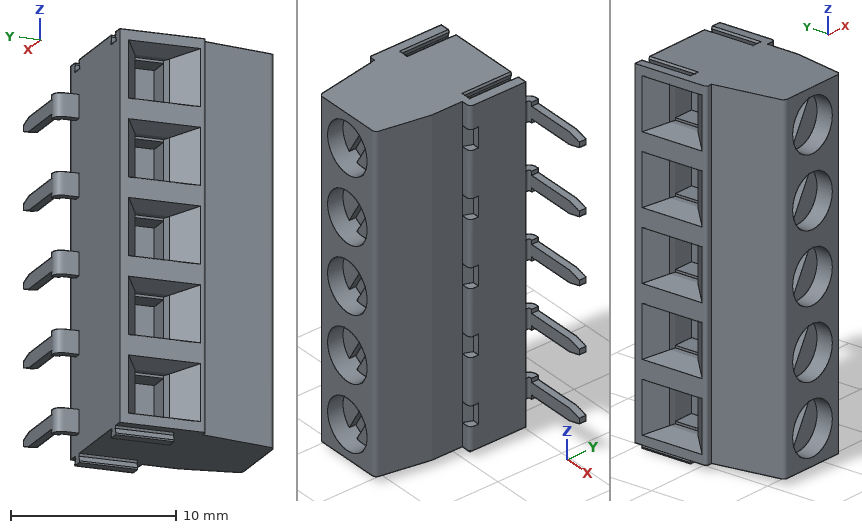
import cadquery as cq
import math

TOTAL_LENGTH = 25.6
BODY_LENGTH = 25.0
POLES = 5
PITCH = BODY_LENGTH / POLES
CUT_MARGIN = 0.25

BODY_WIDTH = 8.12
BODY_DEPTH = 10.6
WIRE_STEP_X = 0.49
WIRE_STEP_Y = 5.0
SHOULDER_X = 7.37
SHOULDER_Y = 6.25
TAPER_END_Y = 3.9
FLANK_SLOPE = math.tan(math.radians(10))
SCREW_FACE_LEFT = WIRE_STEP_X + WIRE_STEP_Y * FLANK_SLOPE
SCREW_FACE_RIGHT = SHOULDER_X - TAPER_END_Y * FLANK_SLOPE
SCREW_EDGE_RADIUS = 0.33
STEP_EDGE_RADIUS = 0.18
SHOULDER_EDGE_RADIUS = 0.3

SCREW_DIAMETER = 3.8
SCREW_X = (SCREW_FACE_LEFT + SCREW_FACE_RIGHT) / 2
SCREW_RECESS = 1.2
DRIVE_SLOT_WIDTH = 0.85
DRIVE_SLOT_DEPTH = 0.5
DRIVE_SLOT_ANGLE = 60

FUNNEL_Y = 7.68
FUNNEL_DEPTH = 4.68
FUNNEL_HEIGHT = 3.69
THROAT_Y = 7.94
THROAT_DEPTH = 2.23
THROAT_HEIGHT = 2.85
FUNNEL_REACH = 1.4
THROAT_REACH = 0.45
CAGE_Y = 8.0
CAGE_DEPTH = 1.95
CAGE_HEIGHT = 2.5
CAGE_REACH = 1.54

NOTCH_HEIGHT = 1.5
NOTCH_DEPTH = 0.67
NOTCH_RAMP = 0.25

RAIL_HEIGHT = TOTAL_LENGTH - BODY_LENGTH
RAIL_ROOT_WIDTH = 0.75
RAIL_NECK_WIDTH = 0.56
RAIL_WIDTH = 0.8
RAIL_TIP_WIDTH = 0.75
RAIL_NECK_DROP = 0.15
RAIL_WIDEST_DROP = 0.49
RAIL_LENGTH = 3.8
RAIL_CENTERS = (1.05, 7.05)

PIN_TIP_X = 12.05
PIN_REAR_Y = 12.1
PIN_THICKNESS = 0.55
PIN_LEG_X = 6.7
PIN_LEG_WIDTH = 1.5
PIN_WIDTH = 0.92
PIN_TIP_WIDTH = 0.4
PIN_NARROW_X = 7.48
PIN_OUTER_RADIUS = 0.56
PIN_INNER_RADIUS = 0.1
PIN_TAPER_X = 11.1
PIN_OFFSET = -0.45
PIN_EMBED = 0.5


def make_housing():
    outline = [
        (SCREW_FACE_LEFT, 0),
        (SCREW_FACE_RIGHT, 0),
        (SHOULDER_X, TAPER_END_Y),
        (SHOULDER_X, SHOULDER_Y),
        (BODY_WIDTH, SHOULDER_Y),
        (BODY_WIDTH, BODY_DEPTH),
        (0, BODY_DEPTH),
        (0, WIRE_STEP_Y),
        (WIRE_STEP_X, WIRE_STEP_Y),
    ]
    housing = cq.Workplane("XY").polyline(outline).close().extrude(BODY_LENGTH)
    housing = housing.edges("|Z and <Y").fillet(SCREW_EDGE_RADIUS)
    step_edge = cq.selectors.NearestToPointSelector((0, WIRE_STEP_Y, BODY_LENGTH / 2))
    housing = housing.edges(step_edge).fillet(STEP_EDGE_RADIUS)
    shoulder_edge = cq.selectors.NearestToPointSelector((BODY_WIDTH, SHOULDER_Y, BODY_LENGTH / 2))
    return housing.edges(shoulder_edge).fillet(SHOULDER_EDGE_RADIUS)


def make_screw_recess(z):
    """Round recess down to the screw head, plus the head's drive slot."""
    face = cq.Workplane("XZ", origin=(SCREW_X, 0, z))
    recess = face.circle(SCREW_DIAMETER / 2).extrude(-SCREW_RECESS)
    slot = (
        face.transformed(rotate=(0, 0, DRIVE_SLOT_ANGLE))
        .rect(SCREW_DIAMETER, DRIVE_SLOT_WIDTH)
        .extrude(-SCREW_RECESS - DRIVE_SLOT_DEPTH)
    )
    head = face.circle(SCREW_DIAMETER / 2).extrude(-SCREW_RECESS - DRIVE_SLOT_DEPTH)
    return recess.union(slot.intersect(head))


def make_wire_opening(z):
    """Tapered funnel, throat narrowing along Y, then the lower clamp cage hole."""
    funnel = (
        cq.Workplane("YZ", origin=(0, FUNNEL_Y, z))
        .rect(FUNNEL_DEPTH, FUNNEL_HEIGHT)
        .workplane(offset=FUNNEL_REACH)
        .center(THROAT_Y - FUNNEL_Y, 0)
        .rect(THROAT_DEPTH, THROAT_HEIGHT)
        .loft(ruled=True)
    )
    throat = (
        cq.Workplane("YZ", origin=(FUNNEL_REACH, THROAT_Y, z))
        .rect(THROAT_DEPTH, THROAT_HEIGHT)
        .workplane(offset=THROAT_REACH)
        .center(CAGE_Y - THROAT_Y, 0)
        .rect(CAGE_DEPTH, THROAT_HEIGHT)
        .loft(ruled=True)
    )
    cage = (
        cq.Workplane("YZ", origin=(FUNNEL_REACH + THROAT_REACH, CAGE_Y, z))
        .rect(CAGE_DEPTH, CAGE_HEIGHT)
        .extrude(CAGE_REACH)
    )
    return funnel.union(throat).union(cage)


def make_shoulder_notch(z):
    """Notch in the shoulder with a ramp beside the housing flank."""
    outline = [
        (SHOULDER_X, SHOULDER_Y),
        (BODY_WIDTH + CUT_MARGIN, SHOULDER_Y),
        (BODY_WIDTH + CUT_MARGIN, SHOULDER_Y + NOTCH_DEPTH),
        (SHOULDER_X + NOTCH_RAMP, SHOULDER_Y + NOTCH_DEPTH),
    ]
    plane = cq.Workplane("XY", origin=(0, 0, z - NOTCH_HEIGHT / 2))
    return plane.polyline(outline).close().extrude(NOTCH_HEIGHT)


def make_dovetail(x, z):
    """Dovetail bar hanging below height z, open at the rear face."""
    right_side = [
        (RAIL_ROOT_WIDTH / 2, 0),
        (RAIL_NECK_WIDTH / 2, -RAIL_NECK_DROP),
        (RAIL_WIDTH / 2, -RAIL_WIDEST_DROP),
        (RAIL_TIP_WIDTH / 2, -RAIL_HEIGHT),
    ]
    left_side = [(-across, up) for across, up in reversed(right_side)]
    plane = cq.Workplane("XZ", origin=(x, BODY_DEPTH, z))
    return plane.polyline(right_side + left_side).close().extrude(RAIL_LENGTH)


def make_pin(z):
    """Bent pin: wide leg out of the rear face, narrow pointed bar along +X."""
    leg_right = PIN_LEG_X + PIN_THICKNESS
    bar_front = PIN_REAR_Y - PIN_THICKNESS
    leg_start = BODY_DEPTH - PIN_EMBED
    leg_outline = [
        (PIN_LEG_X, leg_start),
        (leg_right, leg_start),
        (leg_right, bar_front),
        (PIN_NARROW_X, bar_front),
        (PIN_NARROW_X, PIN_REAR_Y),
        (PIN_LEG_X, PIN_REAR_Y),
    ]
    leg = (
        cq.Workplane("XY", origin=(0, 0, z - PIN_LEG_WIDTH / 2))
        .polyline(leg_outline).close()
        .extrude(PIN_LEG_WIDTH)
    )
    leg = leg.edges("|Z and <X and >Y").fillet(PIN_OUTER_RADIUS)
    inner_edge = cq.selectors.NearestToPointSelector((leg_right, bar_front, z))
    leg = leg.edges(inner_edge).fillet(PIN_INNER_RADIUS)
    half_bar = PIN_WIDTH / 2
    half_tip = PIN_TIP_WIDTH / 2
    bar_outline = [
        (PIN_NARROW_X, -half_bar),
        (PIN_TAPER_X, -half_bar),
        (PIN_TIP_X, -half_tip),
        (PIN_TIP_X, half_tip),
        (PIN_TAPER_X, half_bar),
        (PIN_NARROW_X, half_bar),
    ]
    bar = (
        cq.Workplane("XZ", origin=(0, PIN_REAR_Y, z))
        .polyline(bar_outline).close()
        .extrude(PIN_THICKNESS)
    )
    return leg.union(bar)


result = make_housing()
for rail_x in RAIL_CENTERS:
    result = result.cut(make_dovetail(rail_x, BODY_LENGTH))
    result = result.union(make_dovetail(rail_x, 0))
for pole in range(POLES):
    pole_z = (pole + 0.5) * PITCH
    result = result.cut(make_screw_recess(pole_z))
    result = result.cut(make_wire_opening(pole_z))
    result = result.cut(make_shoulder_notch(pole_z))
    result = result.union(make_pin(pole_z + PIN_OFFSET))